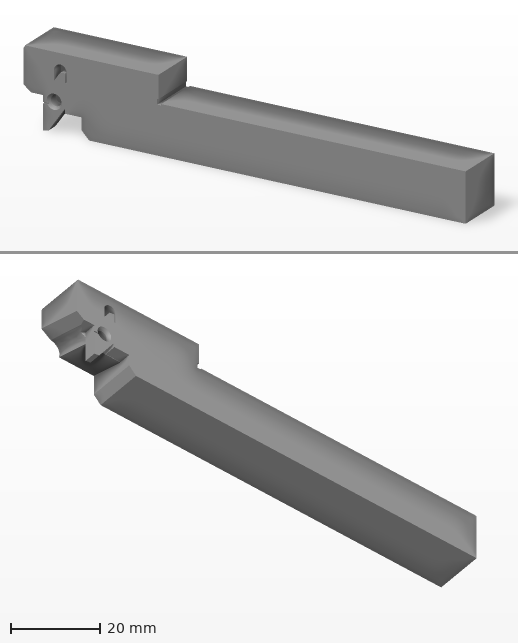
import cadquery as cq
import math

length = 115.0
width = 12.6
head_height = 19.5
shank_height = 12.6
head_length = 35.1
front_y = -width / 2

top_chamfer_x = 0.3
top_chamfer_z = 0.7
relief_depth = 0.3
relief_run = 0.7
relief_rise = 1.0

clearance_angle = 15.0
ramp_start_z = 10.0
ramp_end_x = 2.6
ramp_end_z = 8.0
groove_radius = 2.8
groove_center_x = 2.4
groove_end_z = 5.0
lip_x = 5.1
lip_z = 4.3
notch_end_x = 15.1
notch_chamfer_x = 2.0
notch_chamfer_z = 2.1

insert_thickness = 3.1
seat_y = front_y + insert_thickness
insert_center_x = 7.9
insert_center_z = 7.5
insert_half_width = 2.9
insert_half_height = insert_center_z
tip_width = 1.4
tip_drop = 0.2
shoulder_above_center = 1.0
hole_radius = 1.4
countersink_radius = 2.0
countersink_depth = 0.9
mark_width = 0.3
mark_depth = 0.3
mark_below_center = 0.8

seat_left_x = insert_center_x - insert_half_width
seat_roof_z = insert_center_z + shoulder_above_center
seat_right_floor_z = 5.2
seat_bevel = 0.6
tip_slot_width = 3.2
tip_slot_right_x = 11.2
tip_slot_top_z = 16.8
tip_slot_bottom_z = 12.5


def polygon_y(points, start_y, depth):
    """Extrude a polygon given by XZ points from start_y toward +Y."""
    return cq.Workplane("XZ", origin=(0, start_y, 0)).polyline(points).close().extrude(-depth)


def box_between(low, high):
    """Axis-aligned box from its lowest to its highest corner."""
    size = [end - start for start, end in zip(low, high)]
    return cq.Workplane("XY").box(*size, centered=False).translate(low)


def insert_outline():
    """Half of the insert outline, repeated by a half turn about the hole."""
    half = [
        (-insert_half_width, shoulder_above_center),
        (-insert_half_width, -insert_half_height),
        (-insert_half_width + tip_width, tip_drop - insert_half_height),
    ]
    turned = [(-x, -z) for x, z in half]
    return [(insert_center_x + x, insert_center_z + z) for x, z in half + turned]


def holder_blank():
    """Side outline of the head and shank, with the corner relief and the top chamfer."""
    outline = [
        (0, 0),
        (length, 0),
        (length, shank_height),
        (head_length + relief_run, shank_height),
        (head_length + relief_run, shank_height - relief_depth),
        (head_length - relief_depth, shank_height - relief_depth),
        (head_length - relief_depth, shank_height + relief_rise),
        (head_length, shank_height + relief_rise),
        (head_length, head_height),
        (top_chamfer_x, head_height),
        (0, head_height - top_chamfer_z),
    ]
    return polygon_y(outline, front_y, width)


def clearance_cutter():
    """Space under the head, swept along Y while it rises at the clearance angle."""
    rise = width * math.tan(math.radians(clearance_angle))
    below = -head_height
    groove_center_z = ramp_end_z - math.sqrt(groove_radius**2 - (ramp_end_x - groove_center_x) ** 2)
    groove_end_x = groove_center_x + math.sqrt(groove_radius**2 - (groove_end_z - groove_center_z) ** 2)
    eighth_turn = math.cos(math.radians(45))
    groove_middle = (
        groove_center_x + groove_radius * eighth_turn,
        groove_center_z + groove_radius * eighth_turn,
    )
    profile = (
        cq.Workplane("XZ", origin=(0, front_y, 0))
        .moveTo(0, below)
        .lineTo(0, ramp_start_z)
        .lineTo(ramp_end_x, ramp_end_z)
        .threePointArc(groove_middle, (groove_end_x, groove_end_z))
        .lineTo(lip_x, lip_z)
        .lineTo(notch_end_x, lip_z)
        .lineTo(notch_end_x, below)
        .close()
        .wire()
        .val()
    )
    face = cq.Face.makeFromWires(profile)
    return cq.Workplane(cq.Solid.extrudeLinear(face, cq.Vector(0, width, rise)))


def notch_chamfer_cutter():
    """Chamfer where the notch wall meets the underside of the shank."""
    corner = [
        (notch_end_x, 0),
        (notch_end_x + notch_chamfer_x, 0),
        (notch_end_x, notch_chamfer_z),
    ]
    return polygon_y(corner, front_y, width)


def seat_cutter():
    """Insert pocket and the open space in front of the seat plane on both sides of it."""
    pocket = polygon_y(insert_outline(), front_y, insert_thickness)
    right_corner_x = insert_center_x + insert_half_width
    below_right = box_between((seat_left_x, front_y, 0), (notch_end_x, seat_y, seat_right_floor_z))
    right_gap = box_between(
        (insert_center_x, front_y, 0),
        (right_corner_x, seat_y, insert_center_z - shoulder_above_center),
    )
    left_space = (
        cq.Workplane("XY")
        .polyline(
            [
                (seat_left_x, front_y),
                (seat_left_x, seat_y),
                (seat_left_x - seat_bevel, seat_y + seat_bevel),
                (0, seat_y + seat_bevel),
                (0, front_y),
            ]
        )
        .close()
        .extrude(seat_roof_z)
    )
    return pocket.union(below_right).union(right_gap).union(left_space)


def tip_slot_cutter():
    """Round-ended slot that clears the spare tip of the insert."""
    radius = tip_slot_width / 2
    left_x = tip_slot_right_x - tip_slot_width
    arc_z = tip_slot_top_z - radius
    return (
        cq.Workplane("XZ", origin=(0, front_y, 0))
        .moveTo(left_x, tip_slot_bottom_z)
        .lineTo(tip_slot_right_x, tip_slot_bottom_z)
        .lineTo(tip_slot_right_x, arc_z)
        .threePointArc((left_x + radius, tip_slot_top_z), (left_x, arc_z))
        .close()
        .extrude(-insert_thickness)
    )


def make_holder():
    return (
        holder_blank()
        .cut(clearance_cutter())
        .cut(notch_chamfer_cutter())
        .cut(seat_cutter())
        .cut(tip_slot_cutter())
    )


def make_insert():
    """Two-ended cutting insert with a countersunk screw hole and a marking groove beside it."""
    blank = polygon_y(insert_outline(), front_y, insert_thickness)
    hole = cq.Workplane("XZ", origin=(insert_center_x, front_y, insert_center_z))
    bore = hole.circle(hole_radius).extrude(-insert_thickness)
    countersink = cq.Workplane(
        cq.Solid.makeCone(
            countersink_radius,
            hole_radius,
            countersink_depth,
            cq.Vector(insert_center_x, front_y, insert_center_z),
            cq.Vector(0, 1, 0),
        )
    )
    mark_z = insert_center_z - mark_below_center
    mark = box_between(
        (seat_left_x, front_y, mark_z - mark_width / 2),
        (insert_center_x, front_y + mark_depth, mark_z + mark_width / 2),
    )
    return blank.cut(bore).cut(countersink).cut(mark)


holder = make_holder()
insert = make_insert()

result = cq.Compound.makeCompound([holder.val(), insert.val()])